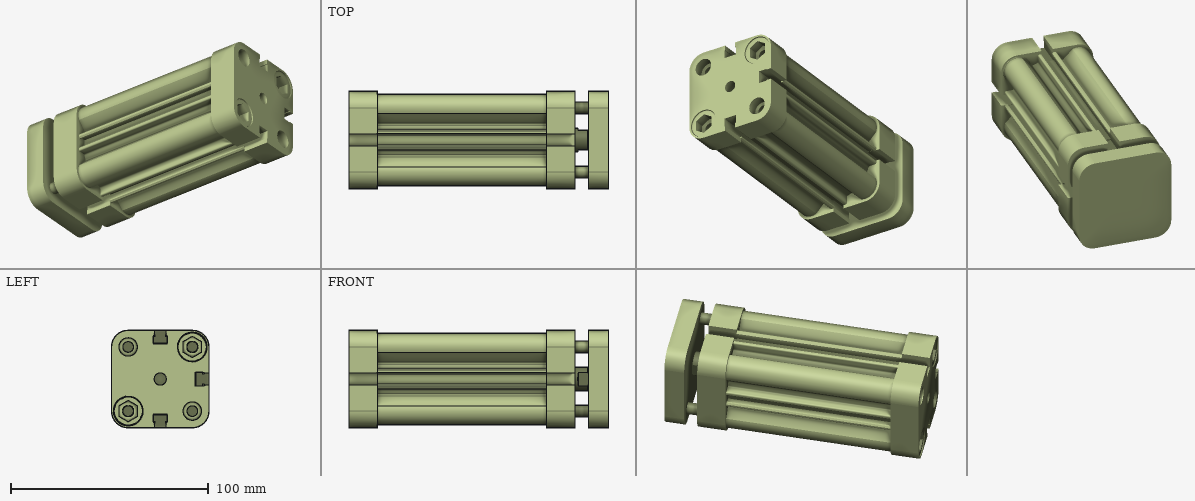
import cadquery as cq
import math


rear_cap_end = 14.5
front_cap_start = 100.0
front_cap_end = 114.5
yoke_start = 121.2
total_length = 131.5

side = 49.5
half_side = side / 2
corner_pitch = 32.5
corner_offset = corner_pitch / 2
corner_radius = half_side - corner_offset

barrel_radius = 19.0
lobe_radius = 7.0
web_width = 12.9
web_fillet = 1.0
rib_half_width = 5.0
rib_top = 22.9
rib_tip_fillet = 0.8
rib_root_fillet = 0.8

profile_mouth_half = 2.6
profile_lip_half = 3.4
profile_lip_inner = 21.5
profile_lip_corner = 22.2
profile_slot_half = 3.5
profile_slot_floor = 18.1
cap_mouth_half = 3.0
cap_slot_half = 3.4
cap_step = half_side - 2.6
cap_slot_floor = half_side - 7.1

screw_hole_diameter = 5.4
screw_recess_diameter = 9.3
screw_recess_depth = 5.5
centre_hole_diameter = 6.2
centre_hole_depth = 7.9

plug_diameter = 14.5
plug_pocket_diameter = 15.0
plug_recess = 0.5
hexagon_across_flats = 9.3
hexagon_depth = screw_recess_depth

guide_diameter = 6.0
piston_radius = 6.0
piston_chamfer = 0.33
wrench_flat_offset = 5.0
wrench_flat_start = 116.2
wrench_runout = 0.4

guide_corners = [(-corner_offset, corner_offset), (corner_offset, -corner_offset)]
screw_corners = [(-corner_offset, -corner_offset), (corner_offset, corner_offset)]
quarter_turns = (0, 90, 180, 270)
cap_slot_turns = (0, 90, 180)


def section_at(x):
    """Sketch plane normal to X whose local axes are Y and Z."""
    return cq.Workplane("YZ", origin=(x, 0, 0))


def cylinder(x_start, x_end, diameter, points=((0, 0),)):
    return section_at(x_start).pushPoints(points).circle(diameter / 2).extrude(x_end - x_start)


def turned_about_x(shape, angle):
    return shape.rotate((0, 0, 0), (1, 0, 0), angle)


def rounded_block(x_start, x_end):
    return section_at(x_start).rect(side, side).extrude(x_end - x_start).edges("|X").fillet(corner_radius)


def slot_cutter(x_start, x_end, right_half):
    """Prism of a symmetric slot on +Z, given the right half of its outline from mouth to floor."""
    left_half = [(-y, z) for y, z in reversed(right_half)]
    return section_at(x_start).polyline(right_half + left_half).close().extrude(x_end - x_start)


def fillet_long_edges(body, radius, y, z):
    """Fillet the edges along X that run through (y, z) and its mirror images and quarter turns."""
    near, far = sorted((abs(y), abs(z)))
    tolerance = 0.01

    def matches(edge):
        centre = edge.Center()
        low, high = sorted((abs(centre.y), abs(centre.z)))
        return abs(low - near) < tolerance and abs(high - far) < tolerance

    edges = [edge for edge in body.edges("|X").vals() if matches(edge)]
    return body.newObject(edges).fillet(radius)



def make_profile():
    length = front_cap_start - rear_cap_end
    profile = cylinder(rear_cap_end, front_cap_start, 2 * barrel_radius)

    lobe_centre = math.hypot(corner_offset, corner_offset)
    half_width = web_width / 2
    lobe_edge = lobe_centre + math.sqrt(lobe_radius**2 - half_width**2)
    lobe_tip = lobe_centre + lobe_radius
    web = (
        section_at(rear_cap_end)
        .moveTo(-lobe_edge, -half_width)
        .lineTo(lobe_edge, -half_width)
        .threePointArc((lobe_tip, 0), (lobe_edge, half_width))
        .lineTo(-lobe_edge, half_width)
        .threePointArc((-lobe_tip, 0), (-lobe_edge, -half_width))
        .close()
        .extrude(length)
    )
    for angle in (45, 135):
        profile = profile.union(turned_about_x(web, angle))
    web_root = math.sqrt(barrel_radius**2 - half_width**2)
    root_y = (web_root - half_width) / math.sqrt(2)
    root_z = (web_root + half_width) / math.sqrt(2)
    profile = fillet_long_edges(profile, web_fillet, root_y, root_z)

    rib = section_at(rear_cap_end).rect(2 * rib_half_width, 2 * rib_top).extrude(length)
    for angle in (0, 90):
        profile = profile.union(turned_about_x(rib, angle))
    rib_root = math.sqrt(barrel_radius**2 - rib_half_width**2)
    profile = fillet_long_edges(profile, rib_root_fillet, rib_half_width, rib_root)
    profile = fillet_long_edges(profile, rib_tip_fillet, rib_half_width, rib_top)

    slot = slot_cutter(rear_cap_end, front_cap_start, [
        (profile_lip_half, rib_top),
        (profile_mouth_half, profile_lip_corner),
        (profile_mouth_half, profile_lip_inner),
        (profile_slot_half, profile_lip_inner),
        (profile_slot_half, profile_slot_floor),
    ])
    for angle in quarter_turns:
        profile = profile.cut(turned_about_x(slot, angle))
    return profile


def make_cap(x_start, x_end):
    cap = rounded_block(x_start, x_end)
    slot = slot_cutter(x_start, x_end, [
        (cap_mouth_half, half_side),
        (cap_mouth_half, cap_step),
        (cap_slot_half, cap_step),
        (cap_slot_half, cap_slot_floor),
    ])
    for angle in cap_slot_turns:
        cap = cap.cut(turned_about_x(slot, angle))
    return cap


def make_housing():
    housing = make_profile()
    housing = housing.union(make_cap(0, rear_cap_end))
    housing = housing.union(make_cap(front_cap_start, front_cap_end))

    housing = housing.cut(cylinder(0, rear_cap_end, screw_hole_diameter, screw_corners))
    housing = housing.cut(cylinder(0, screw_recess_depth, screw_recess_diameter, screw_corners))
    housing = housing.cut(cylinder(0, rear_cap_end, plug_pocket_diameter, guide_corners))
    housing = housing.cut(cylinder(0, centre_hole_depth, centre_hole_diameter))

    housing = housing.cut(cylinder(rear_cap_end, front_cap_end, guide_diameter, guide_corners))
    housing = housing.cut(cylinder(front_cap_start, front_cap_end, 2 * piston_radius))
    return housing



def make_plug(corner):
    y, z = corner
    plug = cylinder(plug_recess, rear_cap_end, plug_diameter)
    hexagon_across_corners = hexagon_across_flats / math.cos(math.pi / 6)
    hexagon = section_at(plug_recess).polygon(6, hexagon_across_corners).extrude(hexagon_depth)
    plug = plug.cut(turned_about_x(hexagon, 90))
    plug = plug.cut(cylinder(plug_recess + hexagon_depth, rear_cap_end, screw_hole_diameter))
    return plug.translate((0, y, z))



def make_piston_rod():
    rod = cylinder(front_cap_start, yoke_start, 2 * piston_radius)
    rod = rod.faces(">X").chamfer(piston_chamfer)
    runout_start = wrench_flat_start - wrench_runout
    flat = (
        cq.Workplane("XY")
        .polyline([
            (wrench_flat_start, wrench_flat_offset),
            (yoke_start, wrench_flat_offset),
            (yoke_start, piston_radius),
            (runout_start, piston_radius),
        ])
        .close()
        .extrude(piston_radius, both=True)
    )
    return rod.cut(flat).cut(flat.mirror("XZ"))



def make_yoke():
    yoke = rounded_block(yoke_start, total_length)
    return yoke.union(cylinder(rear_cap_end, yoke_start, guide_diameter, guide_corners))


housing = make_housing()
plugs = [make_plug(corner) for corner in guide_corners]
piston_rod = make_piston_rod()
yoke = make_yoke()

result = cq.Compound.makeCompound(
    [housing.val(), *[plug.val() for plug in plugs], piston_rod.val(), yoke.val()]
)